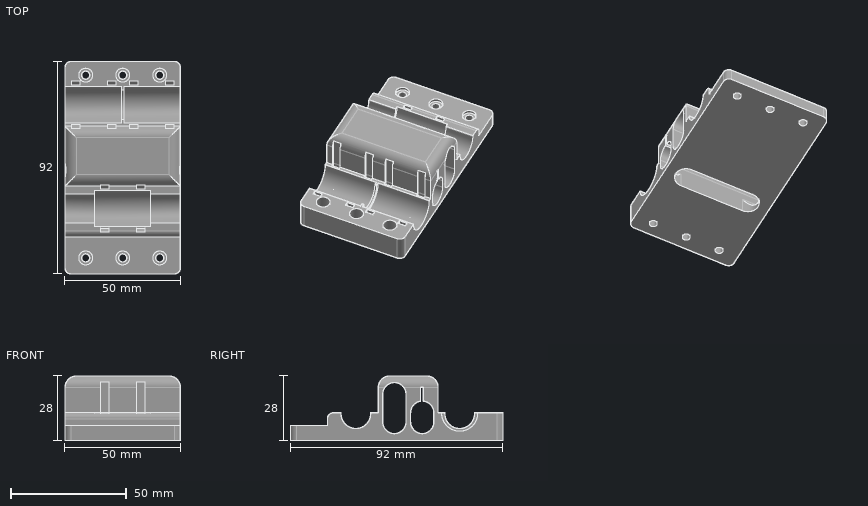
import cadquery as cq

WIDTH = 50.0
LENGTH = 92.0
HEIGHT = 28.0
DECK_HEIGHT = 12.05
FLANGE_HEIGHT = 6.5
FLANGE_EDGE_Y = -30.0
CORNER_RADIUS = 2.7
DECK_EDGE_RADIUS = 2.7

HOUSING_FRONT_Y = -8.0
HOUSING_BACK_Y = 17.9
HOUSING_EDGE_RADIUS = 5.0

PASSAGE_RADIUS = 5.0
PASSAGE_FLOOR_Z = 3.0
TALL_PASSAGE_Y = -1.0
TALL_PASSAGE_TOP_Z = 25.0
SHORT_PASSAGE_Y = 11.0
SHORT_PASSAGE_TOP_Z = 17.0
SLIT_Y = 10.9
SLIT_WIDTH = 1.1
SLIT_TOP_Z = HEIGHT - HOUSING_EDGE_RADIUS
BOTTOM_OPENING_LENGTH = 39.9

BACK_CRADLE_Y = 27.2
FRONT_CRADLE_Y = -17.7
CRADLE_RADIUS = 7.8
CRADLE_DEPTH = 8.0
CRADLE_LENGTH = 24.2
NECK_RADIUS = 6.35
NECK_DEPTH = 6.8
RIB_THICKNESS = 0.9

STRAP_WIDTH = 3.6
STRAP_SPREAD = 15.55
STRAP_INNER_RADIUS = 8.6
STRAP_OUTER_RADIUS = 10.2

HOLE_DIAMETER = 3.4
COUNTERBORE_DIAMETER = 6.0
COUNTERBORE_FLOOR_Z = 5.0
HOLE_PITCH = 16.0
BACK_HOLES_Y = 40.0
FRONT_HOLES_Y = -39.0


def block(x_size, y_min, y_max, z_min, z_max, x_center=0):
    """Box centred on x_center, between the given Y and Z limits."""
    corner = (x_center - x_size / 2, y_min, z_min)
    return cq.Workplane("XY").box(x_size, y_max - y_min, z_max - z_min, centered=False).translate(corner)


def side_profile(x_size, x_center=0):
    """YZ workplane placed so that extruding by x_size ends up centred on x_center."""
    return cq.Workplane("YZ", origin=(x_center - x_size / 2, 0, 0))


def make_body():
    """Flange, deck and housing before anything is cut from them."""
    flange = block(WIDTH, -LENGTH / 2, LENGTH / 2, 0, FLANGE_HEIGHT)
    deck = block(WIDTH, FLANGE_EDGE_Y, LENGTH / 2, 0, DECK_HEIGHT)
    deck = deck.edges("|X and >Z and <Y").fillet(DECK_EDGE_RADIUS)
    base = flange.union(deck)
    base = base.edges("|Z and (<Y or >Y)").fillet(CORNER_RADIUS)
    housing = block(WIDTH, HOUSING_FRONT_Y, HOUSING_BACK_Y, 0, HEIGHT)
    housing = housing.faces(">Z").edges().fillet(HOUSING_EDGE_RADIUS)
    return base.union(housing)


def make_passage(y, top_z):
    """Upright obround passage through the full width."""
    height = top_z - PASSAGE_FLOOR_Z
    return (
        side_profile(WIDTH)
        .center(y, PASSAGE_FLOOR_Z + height / 2)
        .slot2D(height, 2 * PASSAGE_RADIUS, 90)
        .extrude(WIDTH)
    )


def make_slit():
    """Narrow slit rising from the crown of the short passage."""
    slit_floor_z = SHORT_PASSAGE_TOP_Z - PASSAGE_RADIUS
    return block(WIDTH, SLIT_Y - SLIT_WIDTH / 2, SLIT_Y + SLIT_WIDTH / 2, slit_floor_z, SLIT_TOP_Z)


def make_bottom_opening():
    """Obround opening from the underside up into the short passage."""
    return (
        cq.Workplane("XY")
        .center(0, SHORT_PASSAGE_Y)
        .slot2D(BOTTOM_OPENING_LENGTH, 2 * PASSAGE_RADIUS)
        .extrude(PASSAGE_FLOOR_Z + PASSAGE_RADIUS)
    )


def make_trough(y, radius, depth, length, x_center=0):
    """U-shaped trough along X, open at the deck surface."""
    arc_z = DECK_HEIGHT - depth + radius
    return (
        side_profile(length, x_center)
        .moveTo(y - radius, DECK_HEIGHT)
        .lineTo(y - radius, arc_z)
        .threePointArc((y, DECK_HEIGHT - depth), (y + radius, arc_z))
        .lineTo(y + radius, DECK_HEIGHT)
        .close()
        .extrude(length)
    )


def make_strap_channel(y, x_center):
    """Half-ring channel under a cradle whose two ends continue straight up."""

    def u_shape(radius):
        return (
            side_profile(STRAP_WIDTH, x_center)
            .moveTo(y - radius, HEIGHT)
            .lineTo(y - radius, DECK_HEIGHT)
            .threePointArc((y, DECK_HEIGHT - radius), (y + radius, DECK_HEIGHT))
            .lineTo(y + radius, HEIGHT)
            .close()
            .extrude(STRAP_WIDTH)
        )

    return u_shape(STRAP_OUTER_RADIUS).cut(u_shape(STRAP_INNER_RADIUS))


def cut_straps(body, y, x_center):
    """Cut the pair of strap channels spaced about x_center."""
    for side in (-1, 1):
        body = body.cut(make_strap_channel(y, x_center + side * STRAP_SPREAD / 2))
    return body


def cut_mounting_holes(body):
    """Drill and counterbore three screw holes along each end."""
    bore_depth = HEIGHT - COUNTERBORE_FLOOR_Z
    for y in (BACK_HOLES_Y, FRONT_HOLES_Y):
        for x in (-HOLE_PITCH, 0, HOLE_PITCH):
            hole = cq.Workplane("XY").center(x, y).circle(HOLE_DIAMETER / 2).extrude(HEIGHT)
            counterbore = (
                cq.Workplane("XY", origin=(x, y, COUNTERBORE_FLOOR_Z))
                .circle(COUNTERBORE_DIAMETER / 2)
                .extrude(bore_depth)
            )
            body = body.cut(hole).cut(counterbore)
    return body


result = make_body()

result = result.cut(make_passage(TALL_PASSAGE_Y, TALL_PASSAGE_TOP_Z))
result = result.cut(make_passage(SHORT_PASSAGE_Y, SHORT_PASSAGE_TOP_Z))
result = result.cut(make_slit())
result = result.cut(make_bottom_opening())

for cradle_y in (BACK_CRADLE_Y, FRONT_CRADLE_Y):
    result = result.cut(make_trough(cradle_y, NECK_RADIUS, NECK_DEPTH, WIDTH))

result = result.cut(make_trough(FRONT_CRADLE_Y, CRADLE_RADIUS, CRADLE_DEPTH, CRADLE_LENGTH))
result = cut_straps(result, FRONT_CRADLE_Y, 0)

back_cradle_length = (WIDTH - RIB_THICKNESS) / 2
for side in (-1, 1):
    cradle_x = side * (RIB_THICKNESS + back_cradle_length) / 2
    strap_x = side * (RIB_THICKNESS + CRADLE_LENGTH) / 2
    result = result.cut(
        make_trough(BACK_CRADLE_Y, CRADLE_RADIUS, CRADLE_DEPTH, back_cradle_length, cradle_x)
    )
    result = cut_straps(result, BACK_CRADLE_Y, strap_x)

result = cut_mounting_holes(result)